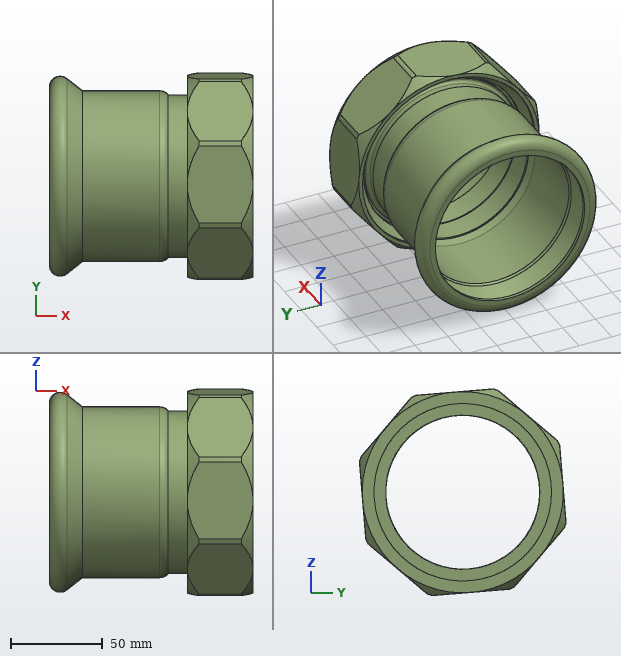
import cadquery as cq
import math


total_length = 111.2
nut_length = 36.0
nut_start = total_length - nut_length

wall = 2.0
tube_radius = 93.5 / 2
neck_radius = 89.0 / 2
tube_bore_radius = 89.5 / 2
neck_bore_radius = 84.9 / 2
lip_bore_radius = 91.0 / 2
bead_center_radius = 97.5 / 2
bead_arc_radius = 5.9
bead_end = 18.0
shoulder_start = 60.1
shoulder_end = 64.8
shoulder_drop = 2.0
shoulder_bore_drop = 1.5
tube_end = 79.1

seal_start_angle = math.radians(-50)
seal_end = 16.7

tail_bore_radius = 84.0 / 2
cove_start = 82.5
cove_radius = 1.7
collar_radius = 93.8 / 2
flange_start = 85.9
tail_end = 93.8

nut_sides = 8
nut_apothem = 54.9
nut_corner_radius = 58.9
nut_tilt = 4.7
nut_chamfer_length = 6.4
nut_entry_radius = 105.5 / 2
nut_entry_land = 2.0
nut_entry_depth = 7.1
nut_bore_radius = 97.0 / 2

AXIS_START = (0, 0, 0)
AXIS_END = (1, 0, 0)


def revolve(profile):
    """Turn a closed (X, radius) profile around the X axis."""
    return profile.close().revolve(360, AXIS_START, AXIS_END)


def arc_point(radius, angle):
    """Point on an arc about the bead centre, angle in radians from the radial direction."""
    x = bead_arc_radius + radius * math.sin(angle)
    return (x, bead_center_radius + radius * math.cos(angle))


def tangent_angle(radius, foot):
    """Angle at which a line from foot touches the bead arc."""
    run = foot[0] - bead_arc_radius
    drop = foot[1] - bead_center_radius
    return math.atan2(run, drop) - math.acos(radius / math.hypot(run, drop))


cavity_arc_radius = bead_arc_radius - wall
cone_foot = (bead_end, tube_radius)
cavity_foot = (bead_end, tube_bore_radius)
cone_angle = tangent_angle(bead_arc_radius, cone_foot)
cavity_angle = tangent_angle(cavity_arc_radius, cavity_foot)


def add_cavity(profile, end_angle):
    """Continue a profile up the cavity cone and around its arc to the given arc angle."""
    profile = profile.lineTo(*arc_point(cavity_arc_radius, cavity_angle))
    middle = arc_point(cavity_arc_radius, (cavity_angle + end_angle) / 2)
    return profile.threePointArc(middle, arc_point(cavity_arc_radius, end_angle))


def make_tube():
    profile = (
        cq.Workplane("XY")
        .moveTo(0, lip_bore_radius)
        .lineTo(0, bead_center_radius)
        .threePointArc(
            arc_point(bead_arc_radius, (cone_angle - math.pi / 2) / 2),
            arc_point(bead_arc_radius, cone_angle),
        )
        .lineTo(*cone_foot)
        .lineTo(shoulder_start, tube_radius)
        .tangentArcPoint((shoulder_end, tube_radius - shoulder_drop), relative=False)
        .lineTo(shoulder_end, neck_radius)
        .lineTo(tube_end, neck_radius)
        .lineTo(tube_end, neck_bore_radius)
        .lineTo(shoulder_end, neck_bore_radius)
        .lineTo(shoulder_end, tube_bore_radius - shoulder_bore_drop)
        .lineTo(shoulder_start, tube_bore_radius)
        .lineTo(*cavity_foot)
    )
    return revolve(add_cavity(profile, -math.pi / 2).lineTo(wall, lip_bore_radius))


def make_seal():
    cone_start = arc_point(cavity_arc_radius, cavity_angle)
    cone_slope = (cone_start[1] - tube_bore_radius) / (bead_end - cone_start[0])
    seal_end_radius = tube_bore_radius + cone_slope * (bead_end - seal_end)
    profile = cq.Workplane("XY").moveTo(seal_end, seal_end_radius)
    return revolve(add_cavity(profile, seal_start_angle))


def make_tailpiece():
    collar_start = cove_start + cove_radius
    return revolve(
        cq.Workplane("XY")
        .moveTo(tube_end, tail_bore_radius)
        .lineTo(tube_end, neck_radius)
        .lineTo(cove_start, neck_radius)
        .tangentArcPoint((collar_start, neck_radius + cove_radius), relative=False)
        .lineTo(collar_start, collar_radius)
        .lineTo(flange_start, collar_radius)
        .lineTo(flange_start, nut_bore_radius)
        .lineTo(tail_end, nut_bore_radius)
        .lineTo(tail_end, tail_bore_radius)
    )


def make_nut():
    across_corners = 2 * nut_apothem / math.cos(math.pi / nut_sides)
    prism = (
        cq.Workplane("YZ", origin=(nut_start, 0, 0))
        .polygon(nut_sides, across_corners)
        .extrude(nut_length)
        .rotate(AXIS_START, AXIS_END, 180 / nut_sides + nut_tilt)
    )
    envelope = revolve(
        cq.Workplane("XY")
        .moveTo(nut_start, 0)
        .lineTo(nut_start, nut_apothem)
        .lineTo(nut_start + nut_chamfer_length, nut_corner_radius)
        .lineTo(total_length - nut_chamfer_length, nut_corner_radius)
        .lineTo(total_length, nut_apothem)
        .lineTo(total_length, 0)
    )
    opening = revolve(
        cq.Workplane("XY")
        .moveTo(nut_start, 0)
        .lineTo(nut_start, nut_entry_radius)
        .lineTo(nut_start + nut_entry_land, nut_entry_radius)
        .lineTo(nut_start + nut_entry_depth, nut_bore_radius)
        .lineTo(total_length, nut_bore_radius)
        .lineTo(total_length, 0)
    )
    return prism.intersect(envelope).cut(opening)


tube = make_tube()
seal = make_seal()
tailpiece = make_tailpiece()
nut = make_nut()
result = cq.Compound.makeCompound([tube.val(), seal.val(), tailpiece.val(), nut.val()])